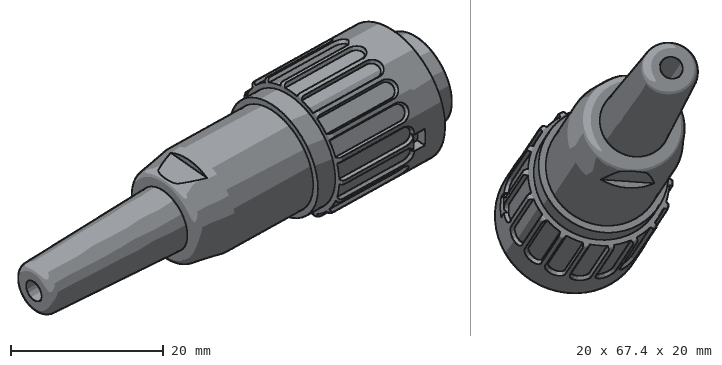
import cadquery as cq


boot_length = 22.8
boot_base_diameter = 9.4
boot_tip_diameter = 7.5
boot_tip_round = 1.1
cable_hole_diameter = 3.0

taper_length = 5.85
taper_small_diameter = 13.5
taper_end_round = 1.0
shell_diameter = 15.5
shell_length = 13.5
collar_diameter = 17.4
collar_length = 3.0

ring_diameter = 20.0
ring_length = 18.1
ring_end_round = 0.55
nose_diameter = 13.5
total_length = 67.4

flat_spacing = 13.2
flat_length = 4.45

flute_count = 18
flute_depth = 0.55
flute_width = 2.95
flute_length = 12.8
flute_wall_draft = 27.0

notch_floor_diameter = 17.1
notch_width = 2.75
notch_overrun = 0.2
notch_lead = 1.8
notch_length = notch_lead + notch_overrun

taper_end = boot_length + taper_length
shell_end = taper_end + shell_length
ring_start = shell_end + collar_length
ring_end = ring_start + ring_length
flute_end = ring_start + flute_length


def turned(length, start, diameter):
    """Plain cylinder on the Y axis running from start towards +Y."""
    return cq.Workplane("XZ", origin=(0, start, 0)).circle(diameter / 2).extrude(-length)


def cone(length, start, start_diameter, end_diameter):
    """Truncated cone on the Y axis."""
    outline = [
        (0, start),
        (start_diameter / 2, start),
        (end_diameter / 2, start + length),
        (0, start + length),
    ]
    return cq.Workplane("XY").polyline(outline).close().revolve(360, (0, 0, 0), (0, 1, 0))


def make_boot():
    boot = cone(boot_length, 0, boot_tip_diameter, boot_base_diameter)
    boot = boot.faces("<Y").edges().fillet(boot_tip_round)
    return boot.cut(turned(boot_length, 0, cable_hole_diameter))


def make_tapered_end():
    body = cone(taper_length, boot_length, taper_small_diameter, shell_diameter)
    body = body.faces("<Y").edges().fillet(taper_end_round)
    for side in (1, -1):
        block_centre = (0, boot_length + flat_length / 2, side * (flat_spacing + shell_diameter) / 2)
        block = cq.Workplane("XY", origin=block_centre).box(shell_diameter, flat_length, shell_diameter)
        body = body.cut(block)
    return body


def make_flute_cutter():
    """Round-ended slot on the +Z side with outward leaning walls and a floor concentric with the ring."""
    half_width = flute_width / 2
    open_end = ring_start - flute_width
    slot = (
        cq.Workplane("XY", origin=(0, 0, ring_diameter / 2))
        .moveTo(-half_width, open_end)
        .lineTo(-half_width, flute_end - half_width)
        .threePointArc((0, flute_end), (half_width, flute_end - half_width))
        .lineTo(half_width, open_end)
        .close()
        .extrude(-2 * flute_depth, taper=flute_wall_draft)
    )
    return slot.cut(turned(total_length, 0, ring_diameter - 2 * flute_depth))


def make_notch_cutter():
    """Pair of square-sided blocks on the -X and +X sides, stopping at the notch floor."""
    notch_centre = flute_end - notch_overrun + notch_length / 2
    bar = cq.Workplane("XY", origin=(0, notch_centre, 0)).box(2 * ring_diameter, notch_length, notch_width)
    return bar.cut(turned(total_length, 0, notch_floor_diameter))


def make_coupling_ring():
    ring = turned(ring_length, ring_start, ring_diameter)
    ring = ring.faces("<Y").edges().fillet(ring_end_round)
    cutter = make_flute_cutter()
    for index in range(flute_count):
        ring = ring.cut(cutter.rotate((0, 0, 0), (0, 1, 0), index * 360 / flute_count))
    return ring.cut(make_notch_cutter())


result = (
    turned(shell_length, taper_end, shell_diameter)
    .union(make_tapered_end())
    .union(make_boot())
    .union(turned(collar_length, shell_end, collar_diameter))
    .union(make_coupling_ring())
    .union(turned(total_length - ring_end, ring_end, nose_diameter))
)